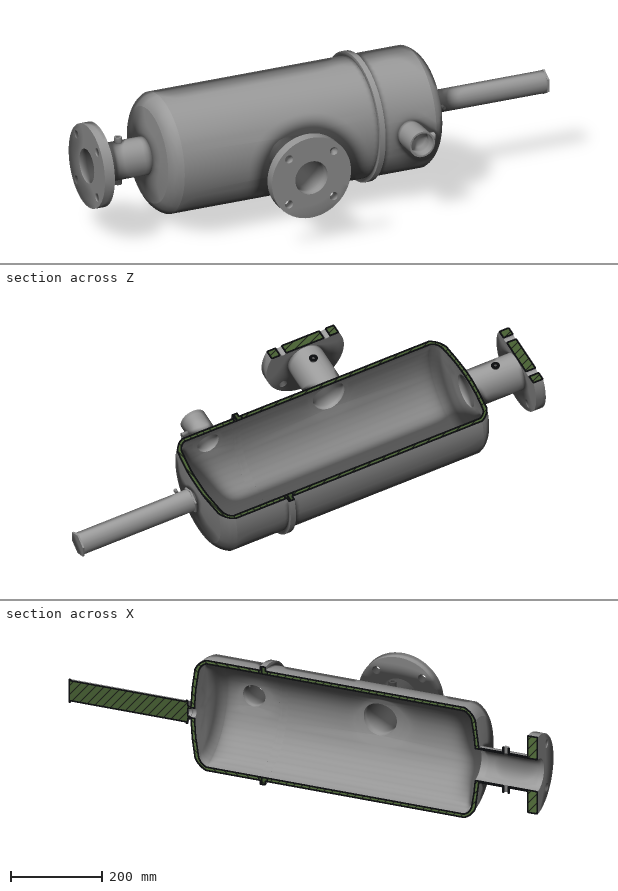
import cadquery as cq
import math


SHELL_R = 273.05 / 2
WALL = 9.27
LOWER_SEAM_Y = 180.0
UPPER_SEAM_Y = 773.0
HEAD_STRAIGHT = 6.7
KNUCKLE_HEIGHT = 27.0
KNUCKLE_BULGE = 4.0
CROWN_EDGE_R = 108.5
CROWN_HEIGHT = 9.5

CLOSURE_R = 292.1 / 2
JOINT_Y = 650.0
LOWER_PLATE = 9.7
UPPER_PLATE = 3.2
HUB = 3.3

PIPE_R = 86.0 / 2
PIPE_BORE_R = 77.93 / 2
FLANGE_R = 190.5 / 2
FLANGE_THICK = 23.88
BOLT_CIRCLE_R = 152.4 / 2
BOLT_HOLE_R = 19.05 / 2
BOLT_COUNT = 4
BOLT_START_ANGLE = 45
INLET_Y = 420.0
INLET_FACE_X = 409.86 - CLOSURE_R

SOCKET_R = 8.5
SOCKET_BORE_R = 4.5
SOCKET_HEIGHT = 13.0
DRAIN_SOCKET_Y = 75.0
INLET_SOCKET_X = 200.5

NOZZLE_R = 60.3 / 2
NOZZLE_BORE_R = 52.5 / 2
NOZZLE_Y = 716.5
NOZZLE_END_X = 200.5
NOZZLE_SOCKET_X = 168.0

NECK_R = 16.0
NECK_BORE_R = 9.5
HEAD_HOLE_R = 12.0
COLUMN_R = 25.4
COLUMN_BASE_Y = 823.0
COLUMN_TOP_Y = 1103.05
HEX_THICK = 4.0
HEX_SIDES = 6
HEX_CORNER_R = COLUMN_R / math.cos(math.pi / HEX_SIDES)
FITTING_Y = 842.5
FITTING_STEM_R = 2.0
FITTING_STEM_END_X = 30.0
FITTING_R = 4.0
FITTING_END_X = 41.0

X_AXIS = (1, 0, 0)
Y_AXIS = (0, 1, 0)
Z_AXIS = (0, 0, 1)


def rod(radius, length, start, direction):
    """Solid cylinder from a start point along a direction."""
    cylinder = cq.Solid.makeCylinder(radius, length, cq.Vector(*start), cq.Vector(*direction))
    return cq.Workplane(cylinder)


def ring(outer_r, inner_r, y_start, thickness):
    """Flat ring around the vessel axis."""
    start = (0, y_start, 0)
    return rod(outer_r, thickness, start, Y_AXIS).cut(rod(inner_r, thickness, start, Y_AXIS))


def domed_solid(offset, open_y, seam_y, outward):
    """Revolved cylinder closed by a dished head; outward is +1 or -1 along Y.

    The offset moves the whole wall inward, so the same profile gives the cavity.
    """
    rim_r = SHELL_R - offset
    crown_edge_r = CROWN_EDGE_R - offset / 2
    crown_edge_height = KNUCKLE_HEIGHT - offset
    apex_height = crown_edge_height + CROWN_HEIGHT
    rim_y = seam_y + outward * HEAD_STRAIGHT

    chord = math.hypot(rim_r - crown_edge_r, crown_edge_height)
    bulge_r = KNUCKLE_BULGE * crown_edge_height / chord
    bulge_height = KNUCKLE_BULGE * (rim_r - crown_edge_r) / chord
    knuckle_mid = (
        (rim_r + crown_edge_r) / 2 + bulge_r,
        rim_y + outward * (crown_edge_height / 2 + bulge_height),
    )

    crown_r = (crown_edge_r**2 + CROWN_HEIGHT**2) / (2 * CROWN_HEIGHT)
    crown_mid_r = crown_edge_r / 2
    crown_mid_height = apex_height - crown_r + math.sqrt(crown_r**2 - crown_mid_r**2)
    crown_mid = (crown_mid_r, rim_y + outward * crown_mid_height)
    apex = (0, rim_y + outward * apex_height)

    profile = (
        cq.Workplane("XY")
        .moveTo(0, open_y)
        .lineTo(rim_r, open_y)
        .lineTo(rim_r, rim_y)
        .threePointArc(knuckle_mid, (crown_edge_r, rim_y + outward * crown_edge_height))
        .threePointArc(crown_mid, apex)
        .close()
    )
    return profile.revolve(360, (0, 0, 0), (0, 1, 0))


def flange(face_plane):
    """Bolted flange whose outer face lies on the given plane, with its thickness behind it."""
    disc = cq.Workplane(face_plane).circle(FLANGE_R).extrude(-FLANGE_THICK)
    bolt_holes = (
        cq.Workplane(face_plane)
        .polarArray(BOLT_CIRCLE_R, BOLT_START_ANGLE, 360, BOLT_COUNT)
        .circle(BOLT_HOLE_R)
        .extrude(-FLANGE_THICK)
    )
    return disc.cut(bolt_holes)


def add_socket(body, pipe_center, direction, pipe_r, pipe_bore_r):
    """Small open socket standing on a pipe and drilled through the pipe wall."""
    top = pipe_r + SOCKET_HEIGHT
    boss_root = (pipe_r + pipe_bore_r) / 2
    axis = cq.Vector(*direction)
    boss_start = (cq.Vector(*pipe_center) + axis * boss_root).toTuple()
    boss = rod(SOCKET_R, top - boss_root, boss_start, direction)
    return body.union(boss).cut(rod(SOCKET_BORE_R, top, pipe_center, direction))


def make_lower_vessel():
    end_y = JOINT_Y - LOWER_PLATE - HUB
    drain_pipe_length = LOWER_SEAM_Y
    inlet_start = (0, INLET_Y, 0)
    body = domed_solid(0, end_y, LOWER_SEAM_Y, -1)
    body = body.union(rod(PIPE_R, drain_pipe_length, (0, 0, 0), Y_AXIS))
    body = body.union(rod(PIPE_R, INLET_FACE_X, inlet_start, X_AXIS))
    body = body.union(flange(cq.Plane((0, 0, 0), X_AXIS, (0, -1, 0))))
    body = body.union(flange(cq.Plane((INLET_FACE_X, INLET_Y, 0), Y_AXIS, X_AXIS)))
    body = body.cut(domed_solid(WALL, end_y, LOWER_SEAM_Y, -1))
    body = body.cut(rod(PIPE_BORE_R, drain_pipe_length, (0, 0, 0), Y_AXIS))
    body = body.cut(rod(PIPE_BORE_R, INLET_FACE_X, inlet_start, X_AXIS))
    for side in (1, -1):
        body = add_socket(body, (0, DRAIN_SOCKET_Y, 0), (0, 0, side), PIPE_R, PIPE_BORE_R)
    return add_socket(body, (INLET_SOCKET_X, INLET_Y, 0), Z_AXIS, PIPE_R, PIPE_BORE_R)


def make_upper_vessel():
    start_y = JOINT_Y + UPPER_PLATE + HUB
    nozzle_start = (0, NOZZLE_Y, 0)
    neck_start = (0, UPPER_SEAM_Y, 0)
    neck_length = COLUMN_BASE_Y - UPPER_SEAM_Y
    head_hole_length = HEAD_STRAIGHT + KNUCKLE_HEIGHT + CROWN_HEIGHT
    body = domed_solid(0, start_y, UPPER_SEAM_Y, 1)
    body = body.union(rod(NOZZLE_R, NOZZLE_END_X, nozzle_start, X_AXIS))
    body = body.union(rod(NECK_R, neck_length, neck_start, Y_AXIS))
    body = body.cut(domed_solid(WALL, start_y, UPPER_SEAM_Y, 1))
    body = body.cut(rod(NOZZLE_BORE_R, NOZZLE_END_X, nozzle_start, X_AXIS))
    body = body.cut(rod(NECK_BORE_R, neck_length, neck_start, Y_AXIS))
    body = body.cut(rod(HEAD_HOLE_R, head_hole_length, neck_start, Y_AXIS))
    return add_socket(body, (NOZZLE_SOCKET_X, NOZZLE_Y, 0), Y_AXIS, NOZZLE_R, NOZZLE_BORE_R)


def make_closure_ring(plate_thick, direction):
    """Closure plate with a short hub; it lies on the side of the joint given by direction."""
    bore_r = SHELL_R - WALL
    plate_y = min(JOINT_Y, JOINT_Y + direction * plate_thick)
    hub_y = min(JOINT_Y, JOINT_Y + direction * (plate_thick + HUB))
    plate = ring(CLOSURE_R, bore_r, plate_y, plate_thick)
    return plate.union(ring(SHELL_R, bore_r, hub_y, plate_thick + HUB))


def make_column():
    """Round column with a hexagonal plate at each end and a small side fitting."""
    body = rod(COLUMN_R, COLUMN_TOP_Y - COLUMN_BASE_Y, (0, COLUMN_BASE_Y, 0), Y_AXIS)
    for plate_y in (COLUMN_BASE_Y, COLUMN_TOP_Y - HEX_THICK):
        plane = cq.Plane((0, plate_y, 0), Z_AXIS, Y_AXIS)
        body = body.union(cq.Workplane(plane).polygon(HEX_SIDES, 2 * HEX_CORNER_R).extrude(HEX_THICK))
    fitting_length = FITTING_END_X - FITTING_STEM_END_X
    body = body.union(rod(FITTING_STEM_R, FITTING_END_X, (0, FITTING_Y, 0), X_AXIS))
    return body.union(rod(FITTING_R, fitting_length, (FITTING_STEM_END_X, FITTING_Y, 0), X_AXIS))


lower_vessel = make_lower_vessel()
lower_closure_ring = make_closure_ring(LOWER_PLATE, -1)
upper_closure_ring = make_closure_ring(UPPER_PLATE, 1)
upper_vessel = make_upper_vessel()
column = make_column()

bodies = [lower_vessel, lower_closure_ring, upper_closure_ring, upper_vessel, column]
result = cq.Compound.makeCompound([body.solids().val() for body in bodies])